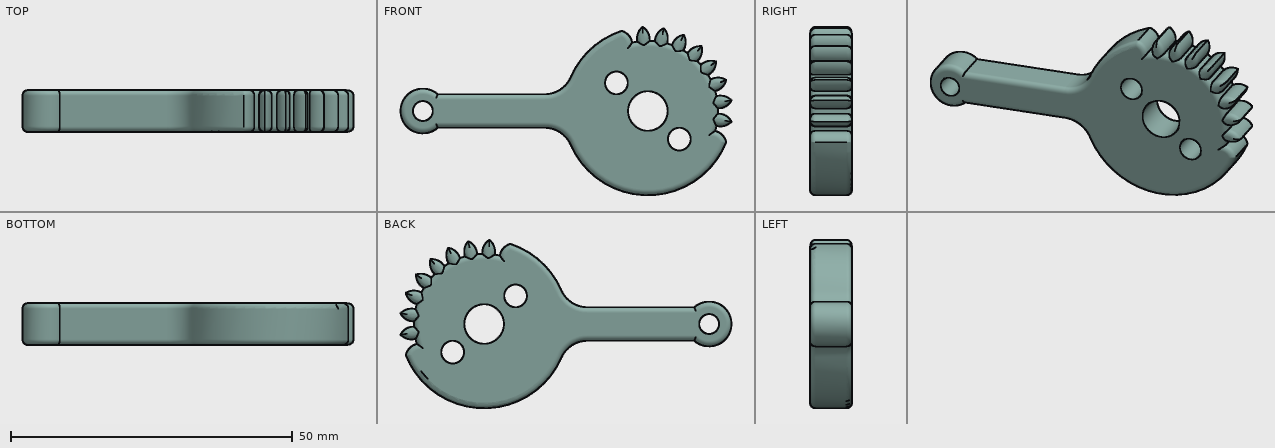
import cadquery as cq
import math

thickness = 7.5
edge_radius = 1.0

hub_radius = 15.0
arm_length = 40.0
arm_width = 6.0
arm_blend_radius = 5.0
eye_radius = 4.0

hub_bore_diameter = 7.0
eye_bore_diameter = 3.5
pin_hole_diameter = 4.0
pin_circle_radius = 7.5
pin_angle = 138.2

tooth_divisions = 25
tooth_pitch = 360.0 / tooth_divisions
tooth_count = 8
first_tooth_angle = -tooth_pitch / 2
gear_module = 2 * hub_radius / (tooth_divisions + 2)
tooth_depth = 2.25 * gear_module
root_radius = hub_radius - tooth_depth

tooth_half_width = 1.15
tooth_widest_radius = 12.8
tooth_rise = hub_radius - tooth_widest_radius
flank_radius = (tooth_rise**2 + tooth_half_width**2) / (2 * tooth_half_width)
flank_center_offset = flank_radius - tooth_half_width


def polar(radius, angle):
    """Point (x, z) at a radius and an angle in degrees about the hub axis."""
    return (radius * math.cos(math.radians(angle)), radius * math.sin(math.radians(angle)))


def face_plane():
    """XZ workplane lying on the +Y face, so extrusions run toward -Y."""
    return cq.Workplane("XZ", origin=(0, thickness / 2, 0))


def rounded_disc(x, z, radius):
    """Disc along Y with both rims rounded."""
    disc = face_plane().center(x, z).circle(radius).extrude(thickness)
    return disc.edges("%CIRCLE").fillet(edge_radius)


def flank_point(tooth_angle, side, radius):
    """Point of a tooth flank at a given distance from the hub axis; side is +1 or -1."""
    cos_offset = (radius**2 + tooth_widest_radius**2 + flank_center_offset**2 - flank_radius**2) / (
        2 * radius * math.hypot(tooth_widest_radius, flank_center_offset)
    )
    center_angle = math.degrees(math.atan2(flank_center_offset, tooth_widest_radius))
    half_angle = math.degrees(math.acos(cos_offset)) - center_angle
    return polar(radius, tooth_angle + side * half_angle)


def make_tooth():
    """Tooth pointing along +X: the overlap of two rounded discs, one per flank."""
    upper_flank = rounded_disc(tooth_widest_radius, -flank_center_offset, flank_radius)
    lower_flank = rounded_disc(tooth_widest_radius, flank_center_offset, flank_radius)
    return upper_flank.intersect(lower_flank)


def make_blank():
    """Hub and arm in one outline, with the gear sector cut back to the root circle."""
    half_width = arm_width / 2
    blend_z = half_width + arm_blend_radius
    blend_x = -math.sqrt((hub_radius + arm_blend_radius) ** 2 - blend_z**2)
    blend_angle = math.degrees(math.atan2(blend_z, blend_x))
    blend_mid_angle = math.radians((blend_angle - 180 - 90) / 2)
    blend_mid_x = blend_x + arm_blend_radius * math.cos(blend_mid_angle)
    blend_mid_z = blend_z + arm_blend_radius * math.sin(blend_mid_angle)
    hub_x, hub_z = polar(hub_radius, blend_angle)

    lower_end = first_tooth_angle - tooth_pitch
    upper_end = first_tooth_angle + tooth_count * tooth_pitch
    sector_middle = (lower_end + upper_end) / 2
    mid_flank_radius = (root_radius + hub_radius) / 2

    outline = (
        face_plane()
        .moveTo(-arm_length, half_width)
        .lineTo(blend_x, half_width)
        .threePointArc((blend_mid_x, blend_mid_z), (hub_x, hub_z))
        .threePointArc(polar(hub_radius, (blend_angle + upper_end) / 2), polar(hub_radius, upper_end))
        .threePointArc(
            flank_point(upper_end, -1, mid_flank_radius), flank_point(upper_end, -1, root_radius)
        )
        .threePointArc(polar(root_radius, sector_middle), flank_point(lower_end, 1, root_radius))
        .threePointArc(flank_point(lower_end, 1, mid_flank_radius), polar(hub_radius, lower_end))
        .threePointArc((0, -hub_radius), (hub_x, -hub_z))
        .threePointArc((blend_mid_x, -blend_mid_z), (blend_x, -half_width))
        .lineTo(-arm_length, -half_width)
        .close()
    )
    blank = outline.extrude(thickness)
    return blank.edges("(<Y or >Y) and (not <X)").fillet(edge_radius)


def drill(body, points, diameter):
    """Cut through holes along Y at the given (x, z) points."""
    holes = face_plane().pushPoints(points).circle(diameter / 2).extrude(thickness)
    return body.cut(holes)


result = make_blank().union(rounded_disc(-arm_length, 0, eye_radius))

tooth = make_tooth()
for index in range(tooth_count):
    tooth_angle = first_tooth_angle + index * tooth_pitch
    result = result.union(tooth.rotate((0, 0, 0), (0, -1, 0), tooth_angle))

result = drill(result, [(0, 0)], hub_bore_diameter)
result = drill(result, [(-arm_length, 0)], eye_bore_diameter)
pin_points = [polar(pin_circle_radius, pin_angle), polar(pin_circle_radius, pin_angle + 180)]
result = drill(result, pin_points, pin_hole_diameter)